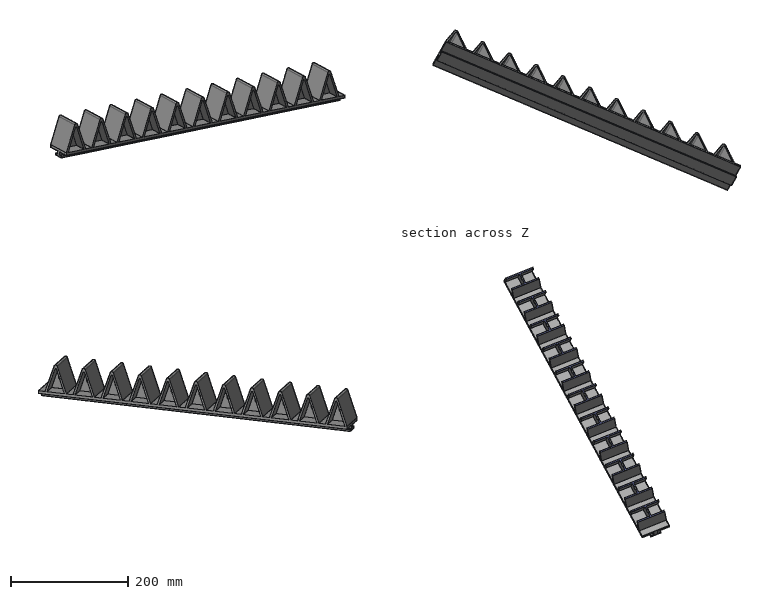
import cadquery as cq
import math

LENGTH = 559.0
WIDTH = 51.0
HEIGHT = 63.5

PLATE_TOP = 14.0
PLATE_BOTTOM = 9.0
FOOT_HEIGHT = 3.5
FOOT_WIDTH = 19.0
STEM_WIDTH = 7.0

TOOTH_COUNT = 11
TOOTH_PITCH = LENGTH / TOOTH_COUNT
TOOTH_BASE = 39.0
TIP_RADIUS = 3.1

WALL_RUN = 4.0
CAVITY_BASE = TOOTH_BASE - 2 * WALL_RUN
CAVITY_TOP = 57.0
CAVITY_TIP_RADIUS = 1.5

WEB_THICKNESS = 3.5
HOLE_DIAMETER = 6.0
HOLE_HEIGHT = 33.5


def full_length_bar(width, bottom, top):
    """Bar running the whole length, centred on X, between two heights."""
    bar = cq.Workplane("XY").box(width, LENGTH, top - bottom, centered=(True, False, False))
    return bar.translate((0, 0, bottom))


def make_rail():
    plate = full_length_bar(WIDTH, PLATE_BOTTOM, PLATE_TOP)
    stem = full_length_bar(STEM_WIDTH, FOOT_HEIGHT, PLATE_BOTTOM)
    foot = full_length_bar(FOOT_WIDTH, 0, FOOT_HEIGHT)
    return plate.union(stem).union(foot)


def round_tipped_prism(base, top, tip_radius, x_start, x_end):
    """Triangular prism along X, standing on the plate, with a tangent round tip."""
    half_base = base / 2
    tip_centre = top - tip_radius
    rise = tip_centre - PLATE_TOP
    corner_angle = math.atan2(rise, half_base)
    tangent_angle = math.acos(tip_radius / math.hypot(rise, half_base))
    normal_angle = tangent_angle - corner_angle
    tangent_y = tip_radius * math.cos(normal_angle)
    tangent_z = tip_centre + tip_radius * math.sin(normal_angle)
    return (
        cq.Workplane("YZ", origin=(x_start, 0, 0))
        .moveTo(-half_base, PLATE_TOP)
        .lineTo(-tangent_y, tangent_z)
        .threePointArc((0, top), (tangent_y, tangent_z))
        .lineTo(half_base, PLATE_TOP)
        .close()
        .extrude(x_end - x_start)
    )


def make_tooth():
    """One tooth centred on X and Y, hollowed from both X sides down to its web."""
    half_width = WIDTH / 2
    half_web = WEB_THICKNESS / 2
    tooth = round_tipped_prism(TOOTH_BASE, HEIGHT, TIP_RADIUS, -half_width, half_width)
    for x_start, x_end in ((-half_width, -half_web), (half_web, half_width)):
        cavity = round_tipped_prism(CAVITY_BASE, CAVITY_TOP, CAVITY_TIP_RADIUS, x_start, x_end)
        tooth = tooth.cut(cavity)
    hole = (
        cq.Workplane("YZ", origin=(0, 0, HOLE_HEIGHT))
        .circle(HOLE_DIAMETER / 2)
        .extrude(half_web, both=True)
    )
    return tooth.cut(hole)


result = make_rail()
tooth = make_tooth()
for index in range(TOOTH_COUNT):
    tooth_centre = TOOTH_BASE / 2 + index * TOOTH_PITCH
    result = result.union(tooth.translate((0, tooth_centre, 0)))